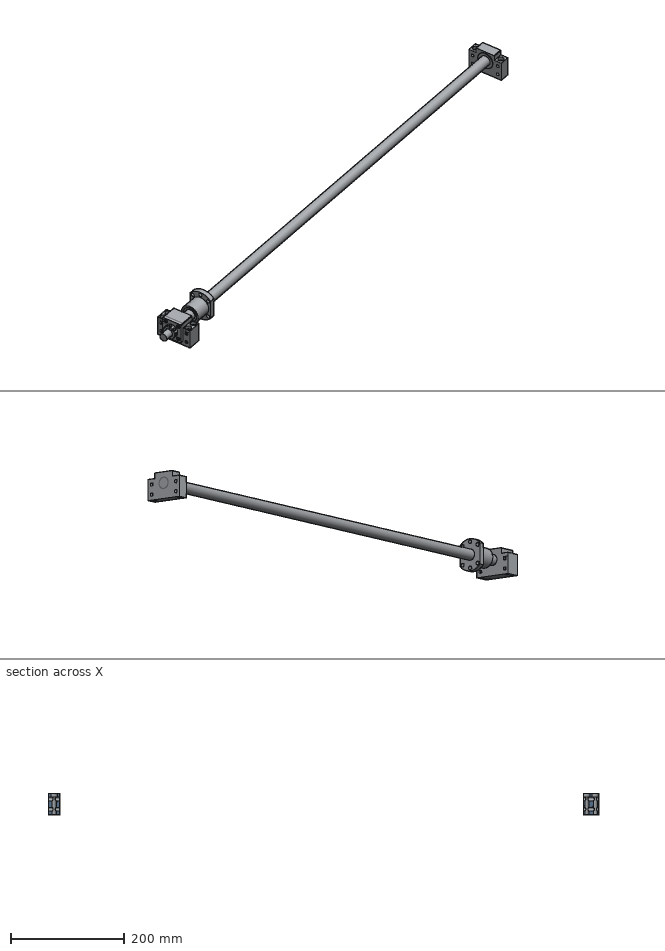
import cadquery as cq

LENGTH = 1002.0
SCREW_DIAMETER = 20.0
JOURNAL_DIAMETER = 15.0

STUB_LENGTH = 17.0
LOCKNUT_LENGTH = 9.0
RETAINER_THICKNESS = 6.0
FIXED_BLOCK_DEPTH = 27.0
BLOCK_TO_NUT = 22.0
NUT_BARREL_LENGTH = 32.0
NUT_FLANGE_THICKNESS = 10.0
FLOATING_BLOCK_DEPTH = 20.0

RETAINER_FRONT = STUB_LENGTH + LOCKNUT_LENGTH
FIXED_BLOCK_FRONT = RETAINER_FRONT + RETAINER_THICKNESS
FIXED_BLOCK_BACK = FIXED_BLOCK_FRONT + FIXED_BLOCK_DEPTH
NUT_FRONT = FIXED_BLOCK_BACK + BLOCK_TO_NUT
FLANGE_FRONT = NUT_FRONT + NUT_BARREL_LENGTH
FLOATING_BLOCK_FRONT = LENGTH - FLOATING_BLOCK_DEPTH

BLOCK_WIDTH = 70.0
BLOCK_HEIGHT = 48.0
CROWN_WIDTH = 40.0
CORNER_CHAMFER = 1.0
EAR_HEIGHT = 38.0
AXIS_HEIGHT = 28.0
BLOCK_BOTTOM = -AXIS_HEIGHT
EAR_TOP = BLOCK_BOTTOM + EAR_HEIGHT

HOLE_SPACING_X = 54.0
HOLE_X = (-HOLE_SPACING_X / 2, HOLE_SPACING_X / 2)
FRONT_HOLE_DIAMETER = 5.5
FRONT_HOLE_SPACING_Z = 18.0
LOWER_HOLE_Z = BLOCK_BOTTOM + (EAR_HEIGHT - FRONT_HOLE_SPACING_Z) / 2
FRONT_HOLE_Z = (LOWER_HOLE_Z, LOWER_HOLE_Z + FRONT_HOLE_SPACING_Z)
BOLT_HOLE_DIAMETER = 6.5
BOLT_HEAD_DIAMETER = 11.0
BOLT_HEAD_DEPTH = 6.5
BOLT_SPACING_Y = 15.0

BEARING_DIAMETER = 32.0
BEARING_RECESS_DEPTH = 1.0

RETAINER_SIZE = 40.0
RETAINER_HOLE_SPACING = 27.0
RETAINER_HOLE_DIAMETER = 3.5
RETAINER_HEAD_DIAMETER = 6.9
RETAINER_HEAD_DEPTH = 3.0

LOCKNUT_DIAMETER = 25.0
LOCKNUT_HOLE_COUNT = 8
LOCKNUT_HOLE_DIAMETER = 5.0
LOCKNUT_HOLE_DEPTH = 4.5

NUT_BARREL_DIAMETER = 36.0
WIPER_RECESS_DIAMETER = 28.0
WIPER_RECESS_DEPTH = 1.0
FLANGE_DIAMETER = 58.0
FLANGE_FLAT_WIDTH = 44.0
FLANGE_HOLE_DIAMETER = 6.5
FLANGE_HOLE_CIRCLE = 47.0
FLANGE_HOLE_ANGLES = (45, 90, 135, 225, 270, 315)


def section_at(y):
    """Workplane at the given Y with local X along X and local Y along Z; extrude(-d) goes to +Y."""
    return cq.Workplane("XZ", origin=(0, y, 0))


def cylinder(y, diameter, length):
    return section_at(y).circle(diameter / 2).extrude(-length)


def counterbored_holes(plane, points, diameter, depth, head_diameter, head_depth):
    """Cutters for stepped holes that start on the plane and run against its normal."""
    located = plane.pushPoints(points)
    shanks = located.circle(diameter / 2).extrude(-depth)
    heads = located.circle(head_diameter / 2).extrude(-head_depth)
    return shanks.union(heads)


def make_block(front, depth, bolt_rows):
    """Support block with a pair of vertical bolt holes at each given Y."""
    ears = (
        section_at(front)
        .center(0, BLOCK_BOTTOM + EAR_HEIGHT / 2)
        .rect(BLOCK_WIDTH, EAR_HEIGHT)
        .extrude(-depth)
    )
    crown = (
        section_at(front)
        .center(0, BLOCK_BOTTOM + BLOCK_HEIGHT / 2)
        .rect(CROWN_WIDTH, BLOCK_HEIGHT)
        .extrude(-depth)
        .edges("|Y and >Z")
        .chamfer(CORNER_CHAMFER)
    )
    front_holes = (
        section_at(front)
        .pushPoints([(x, z) for x in HOLE_X for z in FRONT_HOLE_Z])
        .circle(FRONT_HOLE_DIAMETER / 2)
        .extrude(-depth)
    )
    bolt_holes = counterbored_holes(
        cq.Workplane("XY", origin=(0, 0, EAR_TOP)),
        [(x, y) for x in HOLE_X for y in bolt_rows],
        BOLT_HOLE_DIAMETER,
        EAR_HEIGHT,
        BOLT_HEAD_DIAMETER,
        BOLT_HEAD_DEPTH,
    )
    return ears.union(crown).cut(front_holes).cut(bolt_holes)


def make_fixed_block():
    middle = FIXED_BLOCK_FRONT + FIXED_BLOCK_DEPTH / 2
    bolt_rows = (middle - BOLT_SPACING_Y / 2, middle + BOLT_SPACING_Y / 2)
    return make_block(FIXED_BLOCK_FRONT, FIXED_BLOCK_DEPTH, bolt_rows)


def make_floating_block():
    bolt_rows = (FLOATING_BLOCK_FRONT + FLOATING_BLOCK_DEPTH / 2,)
    block = make_block(FLOATING_BLOCK_FRONT, FLOATING_BLOCK_DEPTH, bolt_rows)
    return block.cut(cylinder(FLOATING_BLOCK_FRONT, BEARING_DIAMETER, BEARING_RECESS_DEPTH))


def make_retainer():
    plate = (
        section_at(RETAINER_FRONT)
        .rect(RETAINER_SIZE, RETAINER_SIZE)
        .extrude(-RETAINER_THICKNESS)
        .edges("|Y")
        .chamfer(CORNER_CHAMFER)
    )
    offset = RETAINER_HOLE_SPACING / 2
    screw_holes = counterbored_holes(
        section_at(RETAINER_FRONT),
        [(x, z) for x in (-offset, offset) for z in (-offset, offset)],
        RETAINER_HOLE_DIAMETER,
        RETAINER_THICKNESS,
        RETAINER_HEAD_DIAMETER,
        RETAINER_HEAD_DEPTH,
    )
    return plate.cut(screw_holes)


def make_locknut():
    locknut = cylinder(STUB_LENGTH, LOCKNUT_DIAMETER, LOCKNUT_LENGTH)
    hole = (
        cq.Workplane("XY", origin=(0, STUB_LENGTH + LOCKNUT_LENGTH / 2, LOCKNUT_DIAMETER / 2))
        .circle(LOCKNUT_HOLE_DIAMETER / 2)
        .extrude(-LOCKNUT_HOLE_DEPTH)
    )
    for index in range(LOCKNUT_HOLE_COUNT):
        angle = index * 360 / LOCKNUT_HOLE_COUNT
        locknut = locknut.cut(hole.rotate((0, 0, 0), (0, 1, 0), angle))
    return locknut


def make_supported_screw():
    """Screw and journal in one solid with the locknut, retainer and both support blocks."""
    screw = cylinder(0, JOURNAL_DIAMETER, FIXED_BLOCK_FRONT)
    thread = cylinder(FIXED_BLOCK_FRONT, SCREW_DIAMETER, LENGTH - FIXED_BLOCK_FRONT)
    for part in (make_locknut(), make_retainer(), make_fixed_block(), thread, make_floating_block()):
        screw = screw.union(part, clean=False)
    return screw


def make_nut():
    barrel = cylinder(NUT_FRONT, NUT_BARREL_DIAMETER, NUT_BARREL_LENGTH)
    flats = section_at(FLANGE_FRONT).rect(FLANGE_FLAT_WIDTH, FLANGE_DIAMETER).extrude(-NUT_FLANGE_THICKNESS)
    flange_hole = (
        section_at(FLANGE_FRONT)
        .center(FLANGE_HOLE_CIRCLE / 2, 0)
        .circle(FLANGE_HOLE_DIAMETER / 2)
        .extrude(-NUT_FLANGE_THICKNESS)
    )
    flange = cylinder(FLANGE_FRONT, FLANGE_DIAMETER, NUT_FLANGE_THICKNESS).intersect(flats)
    for angle in FLANGE_HOLE_ANGLES:
        flange = flange.cut(flange_hole.rotate((0, 0, 0), (0, 1, 0), angle))
    bore = cylinder(NUT_FRONT, SCREW_DIAMETER, NUT_BARREL_LENGTH + NUT_FLANGE_THICKNESS)
    wiper_recess = cylinder(NUT_FRONT, WIPER_RECESS_DIAMETER, WIPER_RECESS_DEPTH)
    return barrel.union(flange).cut(bore).cut(wiper_recess)


supported_screw = make_supported_screw()
nut = make_nut()
result = cq.Compound.makeCompound([supported_screw.solids().val(), nut.solids().val()])